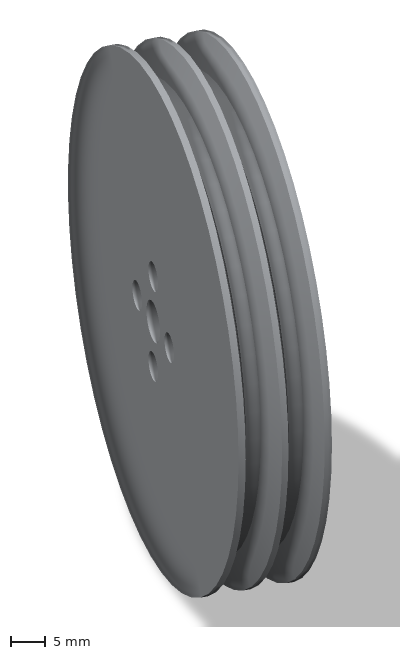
import cadquery as cq

outer_diameter = 80.0
width = 14.0

groove_floor_diameter = 70.0
groove_offset = 3.2
groove_floor_width = 2.2
groove_mouth_width = 5.4

recess_diameter = 60.0
web_thickness = 4.0

bore_diameter = 6.3
mount_hole_diameter = 4.5
mount_hole_count = 4
mount_circle_diameter = 15.0

outer_radius = outer_diameter / 2
groove_floor_radius = groove_floor_diameter / 2
front_y = -width / 2


def cylinder_from_front(diameter, start, length):
    """Cylinder on the pulley axis, starting a given depth behind the front face."""
    front_plane = cq.Workplane("XZ", origin=(0, front_y + start, 0))
    return front_plane.circle(diameter / 2).extrude(-length)


def groove_ring(center_y):
    """Ring of trapezoidal section that cuts one belt groove."""
    half_mouth = groove_mouth_width / 2
    half_floor = groove_floor_width / 2
    section = cq.Workplane("XY").polyline([
        (outer_radius, center_y - half_mouth),
        (groove_floor_radius, center_y - half_floor),
        (groove_floor_radius, center_y + half_floor),
        (outer_radius, center_y + half_mouth),
    ]).close()
    return section.revolve(360, (0, 0, 0), (0, 1, 0))


def mount_holes():
    """Through holes evenly spaced on the mounting circle."""
    front_plane = cq.Workplane("XZ", origin=(0, front_y, 0))
    centers = front_plane.polarArray(mount_circle_diameter / 2, 0, 360, mount_hole_count)
    return centers.circle(mount_hole_diameter / 2).extrude(-width)


result = cylinder_from_front(outer_diameter, 0, width)
for groove_y in (-groove_offset, groove_offset):
    result = result.cut(groove_ring(groove_y))
result = result.cut(cylinder_from_front(recess_diameter, web_thickness, width - web_thickness))
result = result.cut(cylinder_from_front(bore_diameter, 0, width))
result = result.cut(mount_holes())